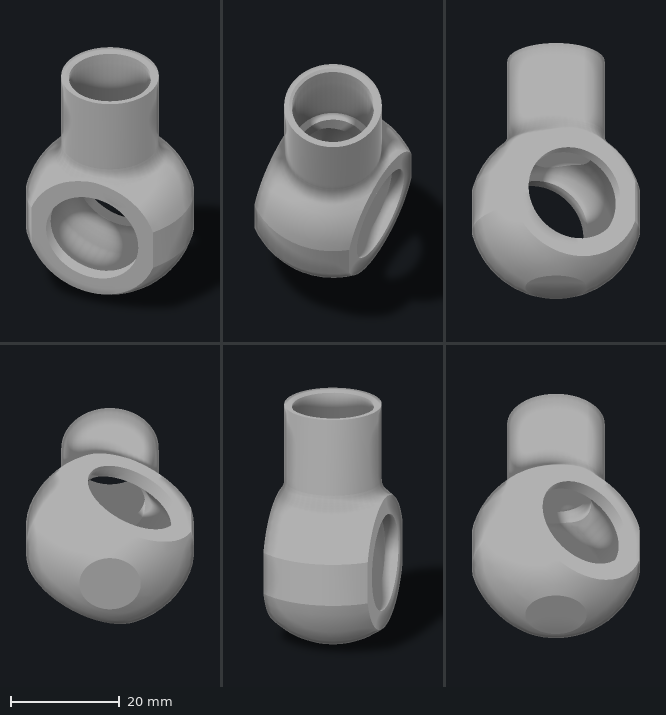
import cadquery as cq
import math

total_height = 45.0
body_width_y = 20.0
sphere_radius = 16.0
waist_half_height = 4.0
waist_radius = math.sqrt(sphere_radius**2 - waist_half_height**2)
center_height = 15.0

neck_diameter = 18.0
neck_fillet = 4.0
neck_bore = 15.15
throat_bore = 13.0
neck_bore_bottom = 30.15
seat_slope = 30.0
mouth_chamfer = 0.5

cross_bore = 18.0
chamber_corner = 3.8
chamber_radius = cross_bore / 2 + chamber_corner
chamber_flat_half_width = 3.65

neck_radius = neck_diameter / 2
fillet_axis_radius = neck_radius + neck_fillet
fillet_center_distance = sphere_radius + neck_fillet
fillet_rise = math.sqrt(fillet_center_distance**2 - fillet_axis_radius**2)
fillet_height = center_height + fillet_rise
contact_ratio = sphere_radius / fillet_center_distance
contact_radius = fillet_axis_radius * contact_ratio
contact_height = center_height + fillet_rise * contact_ratio


def point_on_arc(center, radius, angle_degrees):
    """Return the point of a circle at the given angle."""
    angle = math.radians(angle_degrees)
    return (center[0] + radius * math.cos(angle), center[1] + radius * math.sin(angle))


def make_outer_body():
    """Revolve the ball, waist, fillet and neck about Z, then trim the two Y faces flat."""
    base_radius = math.sqrt(sphere_radius**2 - center_height**2)
    ball_center = (0, center_height)
    fillet_center = (fillet_axis_radius, fillet_height)
    waist_angle = math.degrees(math.asin(waist_half_height / sphere_radius))
    base_angle = -math.degrees(math.asin(center_height / sphere_radius))
    contact_angle = math.degrees(math.atan2(fillet_rise, fillet_axis_radius))
    lower_middle = point_on_arc(ball_center, sphere_radius, (base_angle - waist_angle) / 2)
    upper_middle = point_on_arc(ball_center, sphere_radius, (waist_angle + contact_angle) / 2)
    fillet_middle = point_on_arc(fillet_center, neck_fillet, 180 + contact_angle / 2)
    body = (
        cq.Workplane("XZ")
        .lineTo(base_radius, 0)
        .threePointArc(lower_middle, (waist_radius, center_height - waist_half_height))
        .lineTo(waist_radius, center_height + waist_half_height)
        .threePointArc(upper_middle, (contact_radius, contact_height))
        .threePointArc(fillet_middle, (neck_radius, fillet_height))
        .lineTo(neck_radius, total_height)
        .lineTo(0, total_height)
        .close()
        .revolve(360, (0, 0, 0), (0, 1, 0))
    )
    slab = cq.Workplane("XY").box(
        2 * sphere_radius, body_width_y, total_height, centered=(True, True, False)
    )
    return body.intersect(slab)


def make_neck_passage():
    """Stepped bore from the neck mouth down to the cross bore."""
    bore_radius = neck_bore / 2
    throat_radius = throat_bore / 2
    cone_height = (bore_radius - throat_radius) * math.tan(math.radians(seat_slope))
    return (
        cq.Workplane("XZ")
        .moveTo(0, center_height)
        .lineTo(throat_radius, center_height)
        .lineTo(throat_radius, neck_bore_bottom - cone_height)
        .lineTo(bore_radius, neck_bore_bottom)
        .lineTo(bore_radius, total_height - mouth_chamfer)
        .lineTo(bore_radius + mouth_chamfer, total_height)
        .lineTo(0, total_height)
        .close()
        .revolve(360, (0, 0, 0), (0, 1, 0))
    )


def make_cross_passage():
    """Through bore along Y with the wider chamber at its middle."""
    bore_radius = cross_bore / 2
    half_width = body_width_y / 2
    flat = chamber_flat_half_width
    lip = flat + chamber_corner
    right_middle = point_on_arc((flat, bore_radius), chamber_corner, 45)
    left_middle = (-right_middle[0], right_middle[1])
    profile = (
        cq.Workplane("YZ")
        .moveTo(-half_width, 0)
        .lineTo(-half_width, bore_radius)
        .lineTo(-lip, bore_radius)
        .threePointArc(left_middle, (-flat, chamber_radius))
        .lineTo(flat, chamber_radius)
        .threePointArc(right_middle, (lip, bore_radius))
        .lineTo(half_width, bore_radius)
        .lineTo(half_width, 0)
        .close()
    )
    return profile.revolve(360, (0, 0, 0), (1, 0, 0)).translate((0, 0, center_height))


result = make_outer_body().cut(make_neck_passage()).cut(make_cross_passage())